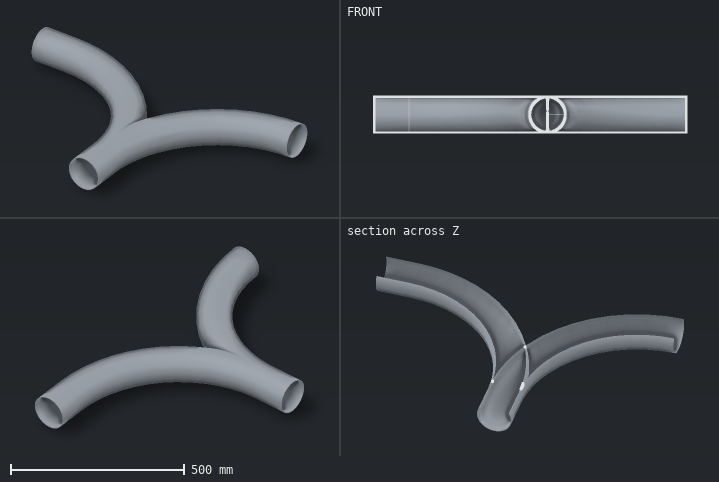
import cadquery as cq

overall_width = 900.0
pipe_diameter = 104.0
wall_thickness = 2.0
straight_length = 100.0
bend_angle = 90.0

pipe_radius = pipe_diameter / 2
bore_radius = pipe_radius - wall_thickness
bend_radius = (overall_width - straight_length) / 2
block_size = 2 * overall_width

LEFT = -1
RIGHT = 1
BELOW = -1
ABOVE = 1


def ring_profile(workplane):
    """Cross-section of the pipe wall."""
    return workplane.circle(pipe_radius).circle(bore_radius)


def quarter_bend(side):
    """Quarter-turn pipe leaving the inlet axis toward +Y and curving to one side."""
    return ring_profile(cq.Workplane("XZ")).revolve(
        bend_angle,
        (side * bend_radius, 0, 0),
        (side * bend_radius, -side, 0),
    )


def half_space(side):
    """Block filling the space above (+1) or below (-1) the plane Z = 0."""
    block = cq.Workplane("XY").box(block_size, block_size, block_size)
    return block.translate((0, 0, side * block_size / 2))


def inlet_straight():
    """Straight pipe running from the start of the bends toward -Y."""
    return ring_profile(cq.Workplane("XZ")).extrude(straight_length)


def outlet_straight():
    """Straight pipe running toward -X from the end of the left bend."""
    outlet_plane = cq.Workplane("YZ", origin=(-bend_radius, bend_radius, 0))
    return ring_profile(outlet_plane).extrude(-straight_length)


def make_main_pipe():
    """Inlet, left bend and left outlet as one pipe, notched above for the branch."""
    upper_notch = quarter_bend(RIGHT).intersect(half_space(ABOVE))
    bend = quarter_bend(LEFT).cut(upper_notch)
    return inlet_straight().union(bend).union(outlet_straight())


def make_branch_pipe():
    """Right bend, notched below for the main pipe."""
    lower_notch = quarter_bend(LEFT).intersect(half_space(BELOW))
    return quarter_bend(RIGHT).cut(lower_notch)


main_pipe = make_main_pipe()
branch_pipe = make_branch_pipe()

result = cq.Compound.makeCompound([main_pipe.solids().val(), branch_pipe.solids().val()])